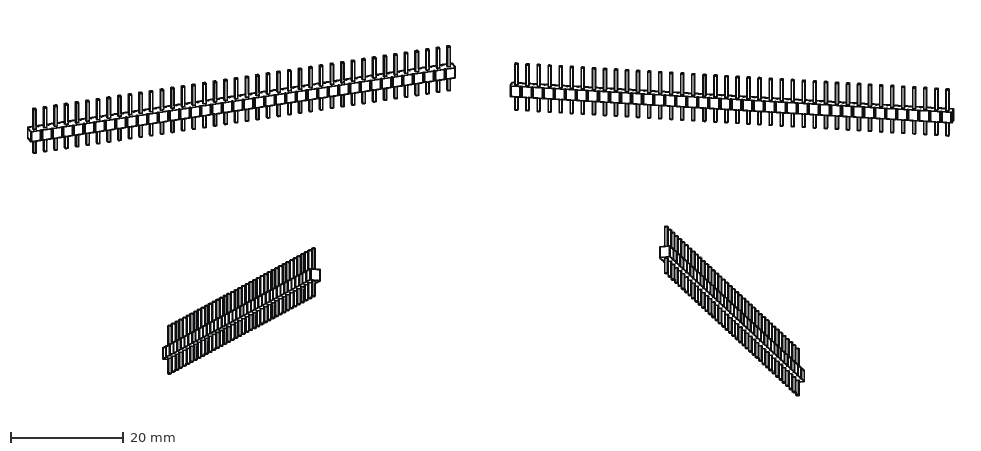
import cadquery as cq

pin_count = 40
strip_length = 80.0
pitch = strip_length / pin_count

housing_width = 2.0
housing_height = 2.0
corner_chamfer = 0.2

pin_size = 0.5
pin_above = 4.0
pin_below = 2.8
tip_chamfer = 0.12
pin_length = pin_below + housing_height + pin_above


def housing_block():
    """Block for one pin, bevelled on its four upright corners, resting on Z = 0."""
    block = cq.Workplane("XY").box(
        housing_width, pitch, housing_height, centered=(True, True, False)
    )
    return block.edges("|Z").chamfer(corner_chamfer)


def pin():
    """Square pin through the block, bevelled at both tips."""
    bar = cq.Workplane("XY").box(
        pin_size, pin_size, pin_length, centered=(True, True, False)
    )
    bar = bar.faces("<Z or >Z").chamfer(tip_chamfer)
    return bar.translate((0, 0, -pin_below))


pin_cell = housing_block().union(pin()).val()
first_pin_y = (pitch - strip_length) / 2
cells = []
for index in range(pin_count):
    cells.append(pin_cell.translate(cq.Vector(0, first_pin_y + index * pitch, 0)))

result = cq.Workplane("XY").newObject([cells[0].fuse(*cells[1:]).clean()])